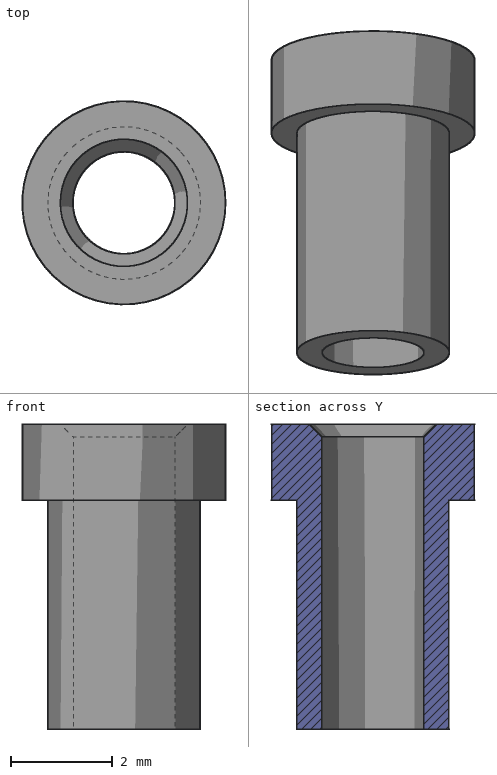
import cadquery as cq

total_height = 6.0
head_diameter = total_height * 2 / 3
head_height = total_height / 4
body_diameter = total_height / 2
bore_diameter = head_diameter / 2
bore_chamfer = bore_diameter / 8

body_height = total_height - head_height
body = cq.Workplane("XY").circle(body_diameter / 2).extrude(body_height)

head = (
    cq.Workplane("XY")
    .workplane(offset=body_height)
    .circle(head_diameter / 2)
    .extrude(head_height)
)

bored = body.union(head).faces(">Z").workplane().hole(bore_diameter)
result = bored.faces(">Z").edges("%CIRCLE").edges(cq.selectors.RadiusNthSelector(0)).chamfer(bore_chamfer)